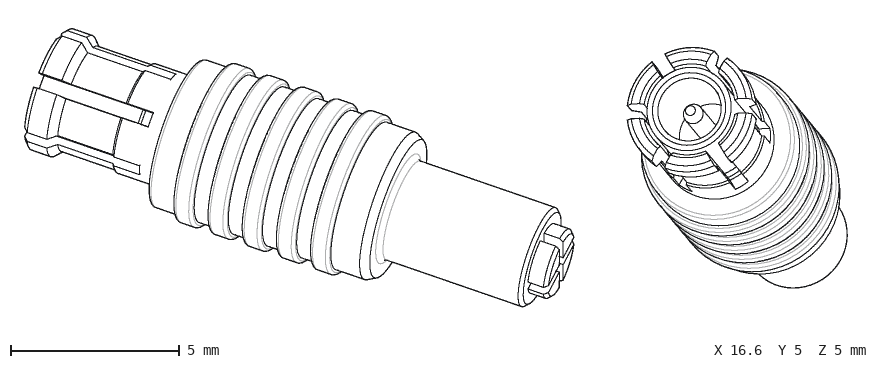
import cadquery as cq
total_length = 16.55

head_radius = 1.9
head_chamfer = 0.15
head_end = 0.78
neck_radius = 1.65
neck_start = head_end + (head_radius - neck_radius)
shell_radius = 1.72
shell_start = 2.86
shell_bore_radius = 1.39
shell_bore_chamfer = 0.12
slot_count = 6
slot_width = 0.45
slot_end = 3.69

tube_start = 0.07
tube_radius = 1.27
tube_bore_radius = 0.96
tube_mouth_radius = 1.11
tube_mouth_depth = 0.07
tube_bore_end = 3.31
gap_end = 3.38
pin_start = 0.26
pin_radius = 0.3
pin_tip_radius = 0.15
pin_taper_length = 0.41

body_start = 4.22
body_end = 11.3
body_radius = 2.32
edge_fillet = 0.1
body_end_chamfer_length = 0.26
body_end_chamfer_depth = 0.15
rib_count = 5
first_rib_start = 5.1
last_rib_start = 9.5
rib_pitch = (last_rib_start - first_rib_start) / (rib_count - 1)
rib_width = 0.61
rib_radius = 2.5

barrel_end = 15.94
barrel_radius = 1.55
barrel_chamfer = 0.12
barrel_root_fillet = 0.17
tail_radius = 1.1
tail_chamfer = 0.12
tail_slot_width_z = 0.35
tail_slot_width_y = 0.3


def revolve_about_x(points):
    """Turn a closed outline of (x, radius) points about the X axis."""
    outline = cq.Workplane("XZ").polyline(points).close()
    return outline.revolve(360, (0, 0, 0), (1, 0, 0))


def cylinder(start, end, radius):
    """Solid cylinder on the X axis."""
    return revolve_about_x([(start, 0), (start, radius), (end, radius), (end, 0)])


def make_shell():
    """Sleeve with a flared, chamfered head and a thinner neck."""
    neck_step = shell_radius - neck_radius
    return revolve_about_x([
        (0, shell_bore_radius + shell_bore_chamfer),
        (0, head_radius - head_chamfer),
        (head_chamfer, head_radius),
        (head_end, head_radius),
        (neck_start, neck_radius),
        (shell_start - neck_step, neck_radius),
        (shell_start, shell_radius),
        (body_start, shell_radius),
        (body_start, shell_bore_radius),
        (shell_bore_chamfer, shell_bore_radius),
    ])


def cut_shell_slots(shell):
    """Split the front of the shell into spring fingers with radial slots."""
    slot = cq.Workplane("XY").box(slot_end, head_radius, slot_width, centered=(False, False, True))
    for index in range(slot_count):
        shell = shell.cut(slot.rotate((0, 0, 0), (1, 0, 0), index * 360 / slot_count))
    return shell


def make_tube():
    """Inner tube with a blind, chamfered bore; it widens at the rear to fill the shell."""
    return revolve_about_x([
        (tube_start, tube_mouth_radius),
        (tube_start, tube_radius),
        (gap_end - (shell_bore_radius - tube_radius), tube_radius),
        (gap_end, shell_bore_radius),
        (body_start, shell_bore_radius),
        (body_start, 0),
        (tube_bore_end, 0),
        (tube_bore_end, tube_bore_radius),
        (tube_start + tube_mouth_depth, tube_bore_radius),
    ])


def make_pin():
    """Contact pin with a tapered, blunt tip, standing on the bore floor."""
    return revolve_about_x([
        (pin_start, 0),
        (pin_start, pin_tip_radius),
        (pin_start + pin_taper_length, pin_radius),
        (tube_bore_end, pin_radius),
        (tube_bore_end, 0),
    ])


def make_body():
    """Grip body with rounded front edge, bevelled rear edge and rounded ribs."""
    body = cylinder(body_start, body_end, body_radius).faces("<X").edges().fillet(edge_fillet)
    bevel = revolve_about_x([
        (body_end - body_end_chamfer_length, body_radius),
        (body_end, body_radius),
        (body_end, body_radius - body_end_chamfer_depth),
    ])
    body = body.cut(bevel)
    for index in range(rib_count):
        start = first_rib_start + index * rib_pitch
        body = body.union(cylinder(start, start + rib_width, rib_radius).edges().fillet(edge_fillet))
    return body


def make_tail():
    """Chamfered tail end, quartered by two crossing slots."""
    tail = cylinder(barrel_end, total_length, tail_radius).faces(">X").chamfer(tail_chamfer)
    length = total_length - barrel_end
    across = 2 * tail_radius
    for width_y, width_z in [(across, tail_slot_width_z), (tail_slot_width_y, across)]:
        slot = cq.Workplane("XY").box(length, width_y, width_z, centered=(False, True, True))
        tail = tail.cut(slot.translate((barrel_end, 0, 0)))
    return tail


def make_barrel_root():
    """Concave fillet where the barrel leaves the body."""
    edge = (body_end + barrel_root_fillet, barrel_radius)
    top = (body_end, barrel_radius + barrel_root_fillet)
    outline = (
        cq.Workplane("XZ")
        .moveTo(body_end, 0)
        .lineTo(*top)
        .radiusArc(edge, -barrel_root_fillet)
        .lineTo(edge[0], 0)
        .close()
    )
    return outline.revolve(360, (0, 0, 0), (1, 0, 0))


barrel = cylinder(body_end, barrel_end, barrel_radius).faces(">X").chamfer(barrel_chamfer)

result = (
    make_body()
    .union(cut_shell_slots(make_shell()))
    .union(make_tube())
    .union(make_pin())
    .union(barrel)
    .union(make_barrel_root())
    .union(make_tail())
)